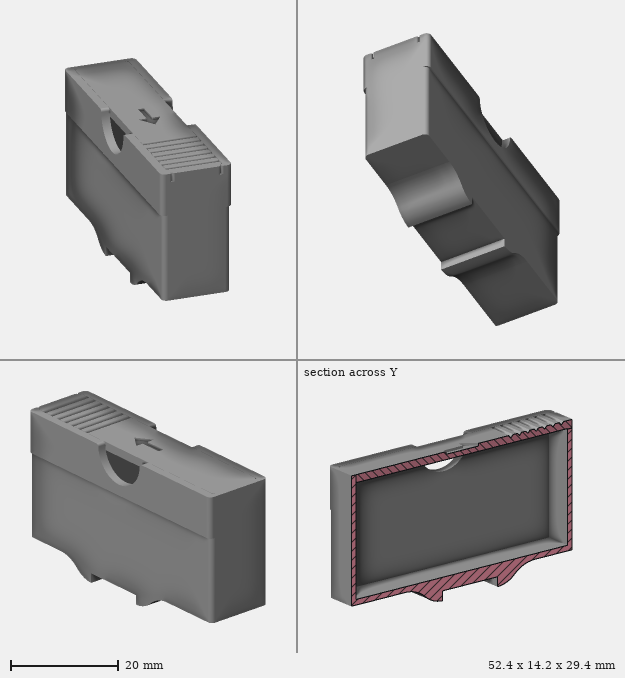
import cadquery as cq
import math

LENGTH = 52.4
WIDTH = 14.2
HEIGHT = 29.4
HALF_LENGTH = LENGTH / 2
HALF_WIDTH = WIDTH / 2

STEP_Z = 20.9
STEP_INSET = 0.35
CORNER_RADIUS = 1.0
SIDE_WALL = 1.7
END_WALL = 1.2
BASE_Z = 3.5
CAVITY_FLOOR_Z = BASE_Z + END_WALL
CHANNEL_HALF_WIDTH = HALF_WIDTH - SIDE_WALL

RAIL_CENTRE_X = 2.0
RAIL_WIDTH = 12.95
RAIL_SLOT_TOP_Z = 1.95
FOOT_TOE_RADIUS = 5.95
FOOT_ROOT_RADIUS = 7.0

NOTCH_RADIUS = 5.95
NOTCH_BOTTOM_Z = 23.15
NOTCH_EDGE_RADIUS = 0.6

LID_THICKNESS = 1.7
LID_BOTTOM_Z = HEIGHT - LID_THICKNESS
LID_REAR_RADIUS = 0.65
LID_FRONT_RADIUS = 0.45
LID_SIDE_GAP = 0.05

LIP_LENGTH = 1.3
LIP_RAMP_LENGTH = 0.8
LIP_HEIGHT = 0.45
LIP_NOSE_RADIUS = 0.4

GROOVE_COUNT = 7
GROOVE_WIDTH = 1.0
GROOVE_DEPTH = 0.5
FIRST_GROOVE_X = 11.15
LAST_GROOVE_X = 23.15
GROOVE_PITCH = (LAST_GROOVE_X - FIRST_GROOVE_X) / (GROOVE_COUNT - 1)

ARROW_TAIL_X = -3.7
ARROW_HEAD_X = 0.85
ARROW_TIP_X = 3.95
ARROW_SHAFT_HALF_WIDTH = 0.6
ARROW_HEAD_HALF_WIDTH = 2.15
ARROW_DEPTH = 0.5
ARROW_NECK_RADIUS = 0.15


def housing_block():
    """Upper band over a narrower lower body, before any hollowing."""
    lower_width = WIDTH - 2 * STEP_INSET
    band = (
        cq.Workplane("XY", origin=(0, 0, STEP_Z))
        .rect(LENGTH, WIDTH)
        .extrude(HEIGHT - STEP_Z)
        .edges("|Z")
        .fillet(CORNER_RADIUS)
    )
    lower = (
        cq.Workplane("XY")
        .rect(LENGTH, lower_width)
        .extrude(STEP_Z)
        .edges("|Z and (>X or >Y)")
        .fillet(CORNER_RADIUS)
    )
    band_column = (
        cq.Workplane("XY")
        .rect(LENGTH, WIDTH)
        .extrude(STEP_Z)
        .edges("|Z")
        .fillet(CORNER_RADIUS)
    )
    return band.union(lower.intersect(band_column))


def side_profile():
    """Outline in XZ: flat base, two feet with S-shaped flanks and the rail slot between them."""
    radius_sum = FOOT_TOE_RADIUS + FOOT_ROOT_RADIUS
    flank_length = math.sqrt(2 * BASE_Z * radius_sum - BASE_Z**2)
    toe = RAIL_WIDTH / 2
    root = toe + flank_length
    toe_share = FOOT_TOE_RADIUS / radius_sum
    bend = (toe + toe_share * flank_length, toe_share * BASE_Z)

    half_turn = math.asin(flank_length / radius_sum) / 2
    toe_middle = (
        toe + FOOT_TOE_RADIUS * math.sin(half_turn),
        FOOT_TOE_RADIUS * (1 - math.cos(half_turn)),
    )
    root_middle = (
        root - FOOT_ROOT_RADIUS * math.sin(half_turn),
        BASE_Z - FOOT_ROOT_RADIUS * (1 - math.cos(half_turn)),
    )

    def right(point):
        return (RAIL_CENTRE_X + point[0], point[1])

    def left(point):
        return (RAIL_CENTRE_X - point[0], point[1])

    return (
        cq.Workplane("XZ")
        .moveTo(-HALF_LENGTH, HEIGHT)
        .lineTo(-HALF_LENGTH, BASE_Z)
        .lineTo(*left((root, BASE_Z)))
        .threePointArc(left(root_middle), left(bend))
        .threePointArc(left(toe_middle), left((toe, 0)))
        .lineTo(*left((toe, RAIL_SLOT_TOP_Z)))
        .lineTo(*right((toe, RAIL_SLOT_TOP_Z)))
        .lineTo(*right((toe, 0)))
        .threePointArc(right(toe_middle), right(bend))
        .threePointArc(right(root_middle), right((root, BASE_Z)))
        .lineTo(HALF_LENGTH, BASE_Z)
        .lineTo(HALF_LENGTH, HEIGHT)
        .close()
        .extrude(HALF_WIDTH, both=True)
    )


def cavity():
    """Hollow below the lid, closed by a wall at each end."""
    return cq.Workplane("XY", origin=(0, 0, CAVITY_FLOOR_Z)).box(
        LENGTH - 2 * END_WALL,
        2 * CHANNEL_HALF_WIDTH,
        LID_BOTTOM_Z - CAVITY_FLOOR_Z,
        centered=(True, True, False),
    )


def lid_channel():
    """Slot for the lid, open at +X between two ramped lips with rounded noses."""
    start = -HALF_LENGTH + END_WALL
    ramp_start = HALF_LENGTH - LIP_LENGTH
    ramp_end = ramp_start + LIP_RAMP_LENGTH
    lip_y = CHANNEL_HALF_WIDTH - LIP_HEIGHT
    nose_start = HALF_LENGTH - LIP_NOSE_RADIUS
    nose_end_y = lip_y + LIP_NOSE_RADIUS
    diagonal = LIP_NOSE_RADIUS * math.sqrt(0.5)
    nose_middle = (nose_start + diagonal, nose_end_y - diagonal)
    return (
        cq.Workplane("XY", origin=(0, 0, LID_BOTTOM_Z))
        .moveTo(start, -CHANNEL_HALF_WIDTH)
        .lineTo(ramp_start, -CHANNEL_HALF_WIDTH)
        .lineTo(ramp_end, -lip_y)
        .lineTo(nose_start, -lip_y)
        .threePointArc((nose_middle[0], -nose_middle[1]), (HALF_LENGTH, -nose_end_y))
        .lineTo(HALF_LENGTH, nose_end_y)
        .threePointArc(nose_middle, (nose_start, lip_y))
        .lineTo(ramp_end, lip_y)
        .lineTo(ramp_start, CHANNEL_HALF_WIDTH)
        .lineTo(start, CHANNEL_HALF_WIDTH)
        .close()
        .extrude(LID_THICKNESS)
    )


def finger_notch():
    """Round cutter across both long walls, flared where it meets the top face."""
    centre_z = NOTCH_BOTTOM_Z + NOTCH_RADIUS
    flare_centre_z = HEIGHT - NOTCH_EDGE_RADIUS
    reach = NOTCH_RADIUS + NOTCH_EDGE_RADIUS
    flare_centre_x = math.sqrt(reach**2 - (flare_centre_z - centre_z) ** 2)
    touch_share = NOTCH_RADIUS / reach
    touch_x = touch_share * flare_centre_x
    touch_z = centre_z + touch_share * (flare_centre_z - centre_z)
    diagonal = NOTCH_EDGE_RADIUS * math.sqrt(0.5)
    flare_middle_x = flare_centre_x - diagonal
    flare_middle_z = flare_centre_z + diagonal
    return (
        cq.Workplane("XZ")
        .moveTo(-flare_centre_x, HEIGHT)
        .threePointArc((-flare_middle_x, flare_middle_z), (-touch_x, touch_z))
        .threePointArc((0, NOTCH_BOTTOM_Z), (touch_x, touch_z))
        .threePointArc((flare_middle_x, flare_middle_z), (flare_centre_x, HEIGHT))
        .close()
        .extrude(HALF_WIDTH, both=True)
    )


def make_housing():
    block = housing_block().intersect(side_profile())
    return block.cut(cavity()).cut(lid_channel()).cut(finger_notch())


def lid_plate():
    """Flat plate with rounded corners, narrowed at +X to follow the ramps of the lips."""
    start = -HALF_LENGTH + END_WALL
    ramp_start = HALF_LENGTH - LIP_LENGTH
    side_y = CHANNEL_HALF_WIDTH - LID_SIDE_GAP
    front_y = side_y - LIP_LENGTH * LIP_HEIGHT / LIP_RAMP_LENGTH
    return (
        cq.Workplane("XY", origin=(0, 0, LID_BOTTOM_Z))
        .polyline(
            [
                (start, -side_y),
                (ramp_start, -side_y),
                (HALF_LENGTH, -front_y),
                (HALF_LENGTH, front_y),
                (ramp_start, side_y),
                (start, side_y),
            ]
        )
        .close()
        .extrude(LID_THICKNESS)
        .edges("|Z and <X")
        .fillet(LID_REAR_RADIUS)
        .edges("|Z and >X")
        .fillet(LID_FRONT_RADIUS)
    )


def grip_groove(start_x):
    """V-shaped groove across the whole width of the lid."""
    return (
        cq.Workplane("XZ")
        .polyline(
            [
                (start_x, HEIGHT),
                (start_x + GROOVE_WIDTH / 2, HEIGHT - GROOVE_DEPTH),
                (start_x + GROOVE_WIDTH, HEIGHT),
            ]
        )
        .close()
        .extrude(CHANNEL_HALF_WIDTH, both=True)
    )


def arrow_recess():
    """Arrow-shaped cutter, rounded where the shaft meets the head."""
    neck = cq.selectors.BoxSelector(
        (ARROW_HEAD_X - ARROW_NECK_RADIUS, -ARROW_HEAD_HALF_WIDTH / 2, 0),
        (ARROW_HEAD_X + ARROW_NECK_RADIUS, ARROW_HEAD_HALF_WIDTH / 2, HEIGHT),
    )
    return (
        cq.Workplane("XY", origin=(0, 0, HEIGHT - ARROW_DEPTH))
        .polyline(
            [
                (ARROW_TAIL_X, -ARROW_SHAFT_HALF_WIDTH),
                (ARROW_HEAD_X, -ARROW_SHAFT_HALF_WIDTH),
                (ARROW_HEAD_X, -ARROW_HEAD_HALF_WIDTH),
                (ARROW_TIP_X, 0),
                (ARROW_HEAD_X, ARROW_HEAD_HALF_WIDTH),
                (ARROW_HEAD_X, ARROW_SHAFT_HALF_WIDTH),
                (ARROW_TAIL_X, ARROW_SHAFT_HALF_WIDTH),
            ]
        )
        .close()
        .extrude(ARROW_DEPTH)
        .edges("|Z")
        .edges(neck)
        .fillet(ARROW_NECK_RADIUS)
    )


def make_lid():
    lid = lid_plate().cut(arrow_recess())
    for index in range(GROOVE_COUNT):
        lid = lid.cut(grip_groove(FIRST_GROOVE_X + index * GROOVE_PITCH))
    return lid


housing = make_housing()
lid = make_lid()

result = cq.Compound.makeCompound([housing.val(), lid.val()])